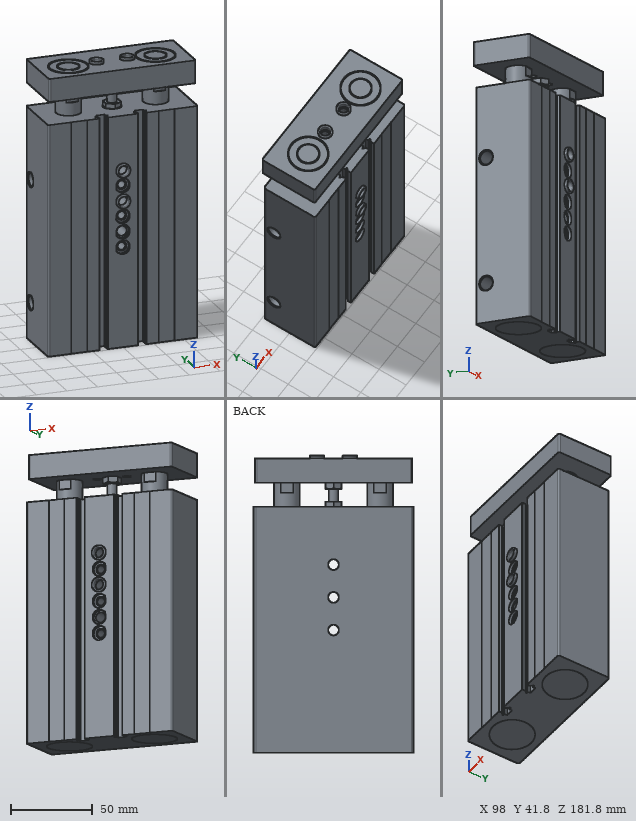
import cadquery as cq
import math


HOUSING_WIDTH = 98.0
HOUSING_DEPTH = 38.0
HOUSING_HEIGHT = 150.5
HOUSING_FRONT_EDGE_RADIUS = 1.0
HOUSING_BACK_EDGE_RADIUS = 1.5
FRONT_Y = -HOUSING_DEPTH / 2

SLOT_X = 12.6
SLOT_MOUTH = 5.2
SLOT_LIP_DEPTH = 2.2
SLOT_INNER_WIDTH = 8.0
SLOT_UNDERCUT_DEPTH = 4.2
SLOT_DEPTH = 6.0
SLOT_MOUTH_CHAMFER = 0.3

STRIP_X = 28.6
STRIP_WIDTH = 10.3
STRIP_DEPTH = 0.1

MOUNT_HOLE_COUNT = 6
MOUNT_HOLE_PITCH = 10.0
MOUNT_FIRST_Z = 115.0
THROUGH_HOLE_DIAMETER = 6.4
TAPPED_HOLE_DIAMETER = 4.92
TAPPED_HOLE_DEPTH = 14.0
TAPPED_MOUTH_DIAMETER = 6.0
DRILL_POINT_ANGLE = 118.0

PORT_DIAMETER = 8.57
PORT_MOUTH_DIAMETER = 9.8
PORT_DEPTH = 17.0
PORT_Y = 11.5
PORT_HEIGHTS = (25.0, 105.0)

ROD_SPACING = 57.0
ROD_X = ROD_SPACING / 2
ROD_DIAMETER = 16.0
ROD_END_DIAMETER = 14.0
ROD_END_CHAMFER = 0.5
ROD_FLAT_LENGTH = 6.0
ROD_ACROSS_FLATS = 14.0
GUIDE_DIAMETER = 28.0
GUIDE_HEIGHT = 50.0

PLATE_GAP = 14.5
PLATE_WIDTH = 96.0
PLATE_THICKNESS = 15.0
PLATE_BACK_Y = 21.0
PLATE_FRONT_Y = -18.0
PLATE_EDGE_RADIUS = 1.0
PLATE_BOTTOM_Z = HOUSING_HEIGHT + PLATE_GAP
PLATE_TOP_Z = PLATE_BOTTOM_Z + PLATE_THICKNESS
RING_OUTER_DIAMETER = 25.0
RING_INNER_DIAMETER = 24.0
RING_DEPTH = 0.5
PLATE_HOLE_X = 10.0

PISTON_DIAMETER = 12.0
PISTON_INSERTION = 25.0
STUD_DIAMETER = 6.0
HEX_ACROSS_FLATS = 10.0
HEX_CHAMFER_DIAMETER = 9.0
NUT_HEIGHT = 4.0
LOWER_HEX_HEIGHT = 3.0
HEX_CHAMFER_ANGLE = 30.0

SLEEVE_DIAMETER = 9.0
SLEEVE_BORE = 6.4
SLEEVE_PROTRUSION = 1.8
SLEEVE_SEAT_DEPTH = 2.1
SLEEVE_HOLE_INDICES = (0, 2)


def cylinder(diameter, height):
    """Upright cylinder standing on the origin."""
    return cq.Workplane("XY").circle(diameter / 2).extrude(height)


def drilled_hole(diameter, depth):
    """Cutter for a blind hole that goes down from the origin and ends in a drill point."""
    radius = diameter / 2
    point = radius / math.tan(math.radians(DRILL_POINT_ANGLE / 2))
    profile = [(0, 0), (radius, 0), (radius, -depth), (0, -depth - point)]
    return cq.Workplane("XZ").polyline(profile).close().revolve(360, (0, 0), (0, 1))


def mouth_chamfer(mouth_diameter, hole_diameter):
    """Cutter for a 45 degree mouth that narrows downwards from the origin."""
    mouth_radius = mouth_diameter / 2
    hole_radius = hole_diameter / 2
    depth = mouth_radius - hole_radius
    profile = [(0, 0), (mouth_radius, 0), (hole_radius, -depth), (0, -depth)]
    return cq.Workplane("XZ").polyline(profile).close().revolve(360, (0, 0), (0, 1))


def facing_front(shape, z):
    """Turn a shape made about +Z to point out of the housing front, at height z."""
    return shape.rotate((0, 0, 0), (1, 0, 0), 90).translate((0, FRONT_Y, z))


def mount_hole_z(index):
    return MOUNT_FIRST_Z - index * MOUNT_HOLE_PITCH


def slot_cutter(x):
    """Sensor slot with a chamfered mouth, an undercut at 45 degrees behind its lips and a central groove."""
    shoulder_depth = SLOT_LIP_DEPTH + (SLOT_INNER_WIDTH - SLOT_MOUTH) / 2
    half_profile = [
        (SLOT_MOUTH / 2 + SLOT_MOUTH_CHAMFER, 0),
        (SLOT_MOUTH / 2, SLOT_MOUTH_CHAMFER),
        (SLOT_MOUTH / 2, SLOT_LIP_DEPTH),
        (SLOT_INNER_WIDTH / 2, shoulder_depth),
        (SLOT_INNER_WIDTH / 2, SLOT_UNDERCUT_DEPTH),
        (SLOT_MOUTH / 2, SLOT_UNDERCUT_DEPTH),
        (SLOT_MOUTH / 2, SLOT_DEPTH),
    ]
    mirrored = [(-across, depth) for across, depth in reversed(half_profile)]
    outline = cq.Workplane("XY").polyline(half_profile + mirrored).close()
    return outline.extrude(HOUSING_HEIGHT).translate((x, FRONT_Y, 0))


def port_cutter(z):
    """Air port going in from the left side, with a chamfered mouth."""
    cutter = drilled_hole(PORT_DIAMETER, PORT_DEPTH).union(mouth_chamfer(PORT_MOUTH_DIAMETER, PORT_DIAMETER))
    return cutter.rotate((0, 0, 0), (0, 1, 0), -90).translate((-HOUSING_WIDTH / 2, PORT_Y, z))


def make_housing():
    body = (
        cq.Workplane("XY")
        .rect(HOUSING_WIDTH, HOUSING_DEPTH)
        .extrude(HOUSING_HEIGHT)
        .edges("|Z and <Y")
        .fillet(HOUSING_FRONT_EDGE_RADIUS)
        .faces(">Y")
        .edges("|Z")
        .fillet(HOUSING_BACK_EDGE_RADIUS)
    )
    for side in (-1, 1):
        body = body.cut(slot_cutter(side * SLOT_X))
        strip = cq.Workplane("XY").rect(STRIP_WIDTH, 2 * STRIP_DEPTH).extrude(HOUSING_HEIGHT)
        body = body.cut(strip.translate((side * STRIP_X, FRONT_Y, 0)))
        body = body.cut(cylinder(ROD_DIAMETER, HOUSING_HEIGHT).translate((side * ROD_X, 0, 0)))
        body = body.cut(cylinder(GUIDE_DIAMETER, GUIDE_HEIGHT).translate((side * ROD_X, 0, 0)))

    piston_bore = cylinder(PISTON_DIAMETER, PISTON_INSERTION)
    body = body.cut(piston_bore.translate((0, 0, HOUSING_HEIGHT - PISTON_INSERTION)))

    for index in range(MOUNT_HOLE_COUNT):
        seat = cylinder(SLEEVE_DIAMETER, SLEEVE_SEAT_DEPTH).translate((0, 0, -SLEEVE_SEAT_DEPTH))
        if index % 2 == 0:
            hole = cylinder(THROUGH_HOLE_DIAMETER, HOUSING_DEPTH).translate((0, 0, -HOUSING_DEPTH))
        else:
            mouth = mouth_chamfer(TAPPED_MOUTH_DIAMETER, TAPPED_HOLE_DIAMETER)
            hole = drilled_hole(TAPPED_HOLE_DIAMETER, TAPPED_HOLE_DEPTH).union(
                mouth.translate((0, 0, -SLEEVE_SEAT_DEPTH))
            )
        body = body.cut(facing_front(seat.union(hole), mount_hole_z(index)))

    for z in PORT_HEIGHTS:
        body = body.cut(port_cutter(z))
    return body


def hexagon(height):
    """Upright hexagon on the origin, with corners towards front and back."""
    across_corners = HEX_ACROSS_FLATS / math.cos(math.radians(30))
    prism = cq.Workplane("XY").polygon(6, across_corners).extrude(height)
    return prism.rotate((0, 0, 0), (0, 0, 1), 30)


def nut():
    """Hexagon whose lower corners are turned off by a cone."""
    height = NUT_HEIGHT
    small = HEX_CHAMFER_DIAMETER / 2
    large = small + height / math.tan(math.radians(HEX_CHAMFER_ANGLE))
    cone = (
        cq.Workplane("XZ")
        .polyline([(0, 0), (small, 0), (large, height), (0, height)])
        .close()
        .revolve(360, (0, 0), (0, 1))
    )
    return hexagon(height).intersect(cone)


def make_yoke():
    """Yoke plate with the nut and the piston rod fixed under its middle."""
    depth = PLATE_BACK_Y - PLATE_FRONT_Y
    plate = (
        cq.Workplane("XY")
        .rect(PLATE_WIDTH, depth)
        .extrude(PLATE_THICKNESS)
        .edges("|Z")
        .fillet(PLATE_EDGE_RADIUS)
        .translate((0, (PLATE_BACK_Y + PLATE_FRONT_Y) / 2, PLATE_BOTTOM_Z))
    )
    for side in (-1, 1):
        ring = cylinder(RING_OUTER_DIAMETER, RING_DEPTH).cut(cylinder(RING_INNER_DIAMETER, RING_DEPTH))
        plate = plate.cut(ring.translate((side * ROD_X, 0, PLATE_TOP_Z - RING_DEPTH)))
        rod_hole = cylinder(ROD_END_DIAMETER, PLATE_THICKNESS)
        plate = plate.cut(rod_hole.translate((side * ROD_X, 0, PLATE_BOTTOM_Z)))
        screw_hole = cylinder(TAPPED_HOLE_DIAMETER, PLATE_THICKNESS)
        plate = plate.cut(screw_hole.translate((side * PLATE_HOLE_X, 0, PLATE_BOTTOM_Z)))
        seat_z = PLATE_TOP_Z - SLEEVE_SEAT_DEPTH
        mouth = mouth_chamfer(TAPPED_MOUTH_DIAMETER, TAPPED_HOLE_DIAMETER)
        plate = plate.cut(mouth.translate((side * PLATE_HOLE_X, 0, seat_z)))
        seat = cylinder(SLEEVE_DIAMETER, SLEEVE_SEAT_DEPTH)
        plate = plate.cut(seat.translate((side * PLATE_HOLE_X, 0, seat_z)))

    piston = cylinder(PISTON_DIAMETER, PISTON_INSERTION).translate((0, 0, HOUSING_HEIGHT - PISTON_INSERTION))
    lower_hex = hexagon(LOWER_HEX_HEIGHT).translate((0, 0, HOUSING_HEIGHT))
    stud = cylinder(STUD_DIAMETER, PLATE_GAP).translate((0, 0, HOUSING_HEIGHT))
    upper_nut = nut().translate((0, 0, PLATE_BOTTOM_Z - NUT_HEIGHT))
    return plate.union(upper_nut).union(stud).union(lower_hex).union(piston)


def make_guide_rod(x):
    """Guide rod with a thick lower section, two wrench flats and a thinner end through the plate."""
    shank = cylinder(ROD_DIAMETER, PLATE_BOTTOM_Z)
    guide = cylinder(GUIDE_DIAMETER, GUIDE_HEIGHT)
    flats = (
        cq.Workplane("XY")
        .pushPoints([(0, -ROD_DIAMETER / 2), (0, ROD_DIAMETER / 2)])
        .rect(ROD_DIAMETER, ROD_DIAMETER - ROD_ACROSS_FLATS)
        .extrude(ROD_FLAT_LENGTH)
        .translate((0, 0, PLATE_BOTTOM_Z - ROD_FLAT_LENGTH))
    )
    end = cylinder(ROD_END_DIAMETER, PLATE_THICKNESS).faces(">Z").chamfer(ROD_END_CHAMFER)
    rod = shank.cut(flats).union(guide).union(end.translate((0, 0, PLATE_BOTTOM_Z)))
    return rod.translate((x, 0, 0))


def make_sleeve():
    """Centring sleeve about +Z with a rounded rim, seated below the origin and standing proud above it."""
    bore_radius = SLEEVE_BORE / 2
    outer_radius = SLEEVE_DIAMETER / 2
    tip_radius = (outer_radius - bore_radius) / 2
    shoulder_z = SLEEVE_PROTRUSION - tip_radius
    return (
        cq.Workplane("XZ")
        .moveTo(bore_radius, -SLEEVE_SEAT_DEPTH)
        .lineTo(outer_radius, -SLEEVE_SEAT_DEPTH)
        .lineTo(outer_radius, shoulder_z)
        .threePointArc((outer_radius - tip_radius, SLEEVE_PROTRUSION), (bore_radius, shoulder_z))
        .close()
        .revolve(360, (0, 0), (0, 1))
    )


housing = make_housing()
yoke = make_yoke()
guide_rods = [make_guide_rod(side * ROD_X) for side in (-1, 1)]
plate_sleeves = [make_sleeve().translate((side * PLATE_HOLE_X, 0, PLATE_TOP_Z)) for side in (-1, 1)]
housing_sleeves = [facing_front(make_sleeve(), mount_hole_z(index)) for index in SLEEVE_HOLE_INDICES]

bodies = [housing, yoke, *guide_rods, *plate_sleeves, *housing_sleeves]
result = cq.Compound.makeCompound([body.val() for body in bodies])